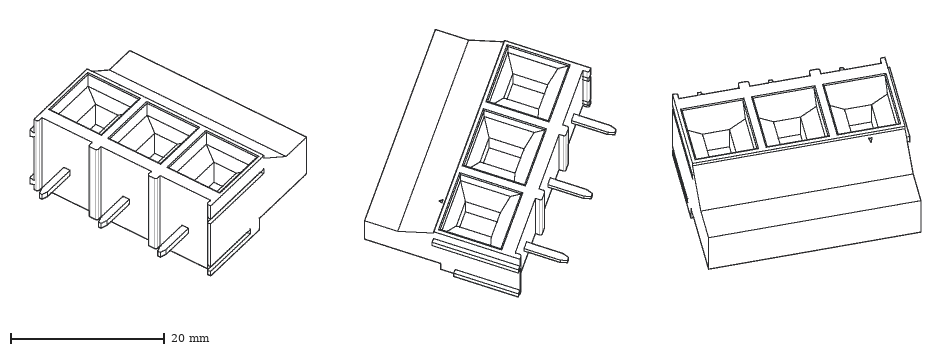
import cadquery as cq

POLES = 3
PITCH = 9.52
WIDTH = 28.45
HEIGHT = 12.5
OVERLAP = 0.3

BACK_Y = 20.6
BACK_BOTTOM_Z = 2.05
BACK_TOP_Z = 8.58
RAMP_FOOT_Y = 16.0
RAMP_TOP_Y = 11.05
RAMP_TOP_Z = 12.02
UNDERCUT_Y = 10.1

RIB_WIDTH = 1.43
RIB_DEPTH = 0.87
RIB_FILLET = 0.3

RAIL_DEPTH = 0.65
RAIL_OUTER = 1.15
RAIL_ROOT = 0.75
RAILS = [(9.72, RAMP_TOP_Y), (1.22, 8.05)]

POCKET_WIDTH = 8.5
POCKET_FRONT_Y = 1.8
POCKET_BACK_Y = 10.53
RIM_BEVEL_RUN = 0.17
RIM_BEVEL_DROP = 0.12
POCKET_WALL_DEPTH = 2.12
FUNNEL_DEPTH = 0.87
HOLE_WIDTH = 3.6
HOLE_FRONT_Y = 4.07
HOLE_BACK_Y = 8.9
HOLE_FLOOR_Z = 5.82

PIN_WIDTH = 1.02
PIN_THICKNESS = 0.87
PIN_CENTRE_Z = 5.15
PIN_LENGTH = 5.9
PIN_TIP_WIDTH = 0.45
PIN_TAPER = 0.87

MARK_WIDTH = 0.47
MARK_FRONT_Y = 11.45
MARK_BACK_Y = 11.9
MARK_RISE = 0.1

FIRST_BOUNDARY_X = (WIDTH - POLES * PITCH) / 2
POLE_CENTRES = [FIRST_BOUNDARY_X + (pole + 0.5) * PITCH for pole in range(POLES)]


def make_body():
    """Stepped side profile swept across the full width."""
    profile = [
        (0, 0),
        (UNDERCUT_Y, 0),
        (UNDERCUT_Y, BACK_BOTTOM_Z),
        (BACK_Y, BACK_BOTTOM_Z),
        (BACK_Y, BACK_TOP_Z),
        (RAMP_FOOT_Y, BACK_TOP_Z),
        (RAMP_TOP_Y, RAMP_TOP_Z),
        (RAMP_TOP_Y, HEIGHT),
        (0, HEIGHT),
    ]
    return cq.Workplane("YZ").polyline(profile).close().extrude(WIDTH)


def make_ribs():
    """Full-height ribs on the pole boundaries; the side walls cut off the outer part of the end ribs."""
    ribs = cq.Workplane("XY")
    for boundary in range(POLES + 1):
        rib = (
            cq.Workplane("XY")
            .box(RIB_WIDTH, RIB_DEPTH + OVERLAP, HEIGHT, centered=(True, False, False))
            .translate((FIRST_BOUNDARY_X + boundary * PITCH, -RIB_DEPTH, 0))
            .edges("|Z and <Y")
            .fillet(RIB_FILLET)
        )
        ribs = ribs.add(rib)
    envelope = cq.Workplane("XY").box(WIDTH, 2 * BACK_Y, HEIGHT, centered=(False, True, False))
    return ribs.combine().intersect(envelope)


def make_rail(centre_z, end_y):
    """Dovetail rail on the left wall, widest at its outer face."""
    profile = [
        (-RAIL_DEPTH, centre_z - RAIL_OUTER / 2),
        (-RAIL_DEPTH, centre_z + RAIL_OUTER / 2),
        (0, centre_z + RAIL_ROOT / 2),
        (0, centre_z - RAIL_ROOT / 2),
    ]
    plane = cq.Workplane("XZ", origin=(0, -RIB_DEPTH, 0))
    return plane.polyline(profile).close().extrude(-(end_y + RIB_DEPTH))


def tapered_void(bottom, top, bottom_z, top_z):
    """Loft between two rectangles, each given as (width, front Y, back Y) and centred on X = 0."""
    bottom_width, bottom_front, bottom_back = bottom
    top_width, top_front, top_back = top
    return (
        cq.Workplane("XY", origin=(0, (bottom_front + bottom_back) / 2, bottom_z))
        .rect(bottom_width, bottom_back - bottom_front)
        .workplane(offset=top_z - bottom_z)
        .center(0, (top_front + top_back - bottom_front - bottom_back) / 2)
        .rect(top_width, top_back - top_front)
        .loft(ruled=True)
    )


def make_pocket():
    """Wire-entry void centred on X = 0: bevelled rim, straight walls, funnel and rectangular hole."""
    wall_top_z = HEIGHT - RIM_BEVEL_DROP
    funnel_top_z = wall_top_z - POCKET_WALL_DEPTH
    hole_top_z = funnel_top_z - FUNNEL_DEPTH
    wall_width = POCKET_WIDTH - 2 * RIM_BEVEL_RUN
    wall_front = POCKET_FRONT_Y + RIM_BEVEL_RUN
    wall_back = POCKET_BACK_Y - RIM_BEVEL_RUN

    slope_share = FUNNEL_DEPTH / (wall_top_z - hole_top_z)
    funnel_front = HOLE_FRONT_Y + (wall_front - HOLE_FRONT_Y) * slope_share

    hole = (HOLE_WIDTH, HOLE_FRONT_Y, HOLE_BACK_Y)
    funnel = (wall_width, funnel_front, wall_back)
    wall = (wall_width, wall_front, wall_back)
    rim = (POCKET_WIDTH, POCKET_FRONT_Y, POCKET_BACK_Y)
    pocket = tapered_void(hole, hole, HOLE_FLOOR_Z, hole_top_z)
    pocket = pocket.union(tapered_void(hole, funnel, hole_top_z, funnel_top_z))
    pocket = pocket.union(tapered_void(funnel, wall, funnel_top_z, wall_top_z))
    return pocket.union(tapered_void(wall, rim, wall_top_z, HEIGHT))


def make_pin():
    """Flat pin centred on X = 0 whose tip narrows in width."""
    outline = [
        (-PIN_WIDTH / 2, OVERLAP),
        (-PIN_WIDTH / 2, PIN_TAPER - PIN_LENGTH),
        (-PIN_TIP_WIDTH / 2, -PIN_LENGTH),
        (PIN_TIP_WIDTH / 2, -PIN_LENGTH),
        (PIN_WIDTH / 2, PIN_TAPER - PIN_LENGTH),
        (PIN_WIDTH / 2, OVERLAP),
    ]
    plane = cq.Workplane("XY", origin=(0, 0, PIN_CENTRE_Z))
    return plane.polyline(outline).close().extrude(PIN_THICKNESS / 2, both=True)


def make_pole_mark():
    """Triangle centred on X = 0 that stands a little proud of the ramp."""
    outline = [
        (-MARK_WIDTH / 2, MARK_FRONT_Y),
        (MARK_WIDTH / 2, MARK_FRONT_Y),
        (0, MARK_BACK_Y),
    ]
    prism = cq.Workplane("XY", origin=(0, 0, BACK_TOP_Z)).polyline(outline).close().extrude(HEIGHT)
    layer_profile = [
        (RAMP_FOOT_Y, BACK_TOP_Z),
        (RAMP_TOP_Y, RAMP_TOP_Z),
        (RAMP_TOP_Y, RAMP_TOP_Z + MARK_RISE),
        (RAMP_FOOT_Y, BACK_TOP_Z + MARK_RISE),
    ]
    layer = cq.Workplane("YZ").polyline(layer_profile).close().extrude(MARK_WIDTH, both=True)
    return prism.intersect(layer)


result = make_body().union(make_ribs())

for centre_z, end_y in RAILS:
    rail = make_rail(centre_z, end_y)
    groove = rail.translate((WIDTH, 0, 0))
    result = result.cut(groove).union(rail)

for centre_x in POLE_CENTRES:
    result = result.cut(make_pocket().translate((centre_x, 0, 0)))
    result = result.union(make_pin().translate((centre_x, 0, 0)))

result = result.union(make_pole_mark().translate((POLE_CENTRES[0], 0, 0)))